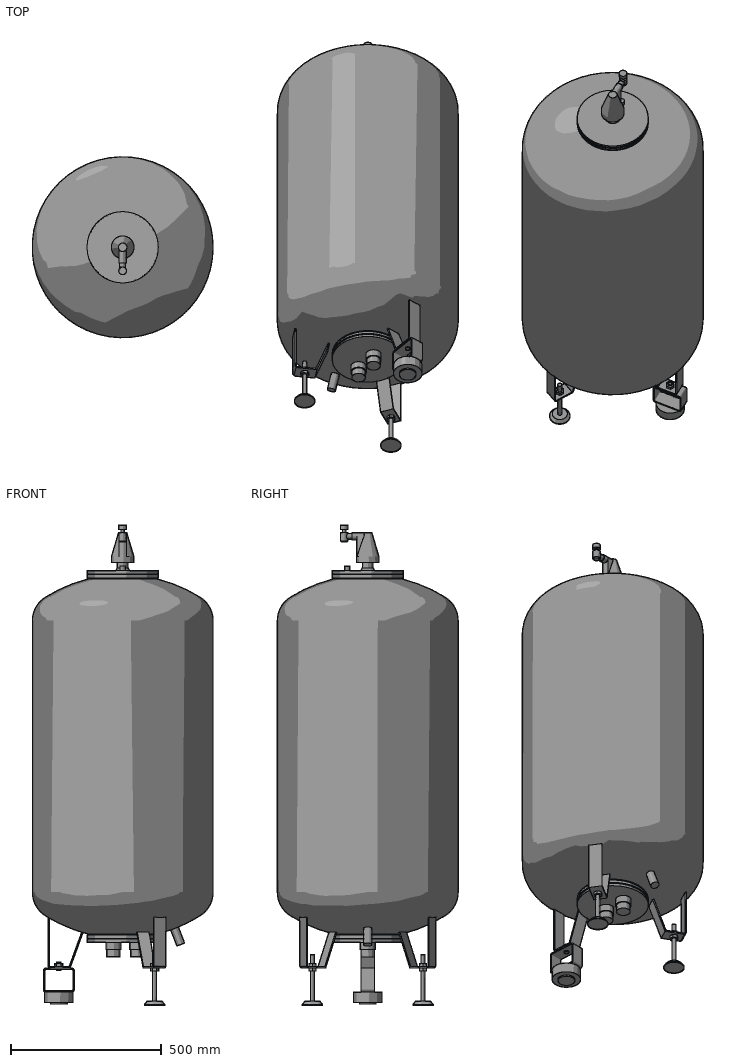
import cadquery as cq
import math

SHELL_RADIUS = 300.0
CROWN_RADIUS = 0.8 * 2 * SHELL_RADIUS
KNUCKLE_RADIUS = 0.154 * 2 * SHELL_RADIUS
HEAD_SKIRT = 15.0
SHELL_BOTTOM = 390.5
SHELL_TOP = 1259.0

CROWN_ANGLE = math.asin((SHELL_RADIUS - KNUCKLE_RADIUS) / (CROWN_RADIUS - KNUCKLE_RADIUS))
CROWN_CENTRE_DROP = (CROWN_RADIUS - KNUCKLE_RADIUS) * math.cos(CROWN_ANGLE)
HEAD_HEIGHT = CROWN_RADIUS - CROWN_CENTRE_DROP
LOWER_TANGENT = SHELL_BOTTOM - HEAD_SKIRT
UPPER_TANGENT = SHELL_TOP + HEAD_SKIRT
LOWER_CROWN_CENTRE = LOWER_TANGENT + CROWN_CENTRE_DROP

FLANGE_RADIUS = 118.0
NECK_RADIUS = 115.0
FLANGE_RISE = 14.0
FLANGE_PLATE = 11.0
GASKET = 2.0
NECK_DEPTH = 28.0
FLANGE_TOP = UPPER_TANGENT + HEAD_HEIGHT + FLANGE_RISE
FLANGE_BOTTOM = LOWER_TANGENT - HEAD_HEIGHT - FLANGE_RISE

PLUG_RADIUS = 9.0
PLUG_HEIGHT = 15.0
PLUG_Y = -68.0
PIPE_POSITIONS_X = (-30.5, 48.5)
PIPE_COLLAR_RADIUS = 25.5
PIPE_COLLAR_LENGTH = 24.0
PIPE_RADIUS = 22.5
PIPE_LENGTH = 48.0
DRAIN_RADIUS = 14.0
DRAIN_REACH = 57.0
DRAIN_ANGLE = 21.0

CELL_LEG_ANGLE = 180.0
FOOT_LEG_ANGLES = (60.0, -60.0)
LEG_WIDTH = 45.0
LEG_THICKNESS = 5.0
LEG_BEND = 11.0
LEG_OUTER = 248.0
LEG_INNER = 174.0
LEG_BRACE_TOP = 129.0
LEG_BRACE_TOP_Z = 247.5
SOLE_BOTTOM = 123.5
SOLE_TOP = SOLE_BOTTOM + LEG_THICKNESS
LEG_TOP = LOWER_TANGENT - KNUCKLE_RADIUS / 2
FOOT_CIRCLE = 211.5

ROD_RADIUS = 7.0
NUT_ACROSS_FLATS = 24.0
NUT_HEIGHT = 10.0
ROD_TOP = 168.5
PAD_RADIUS = 34.0
PAD_TOP_RADIUS = 25.0
PAD_RIM = 3.0
PAD_HEIGHT = 14.0

CELL_RADIUS = 47.5
CELL_BASE_RADIUS = 28.0
CELL_BASE_BOTTOM = 4.0
CELL_BOTTOM = 9.0
CELL_TOP = 44.0
FRAME_LENGTH = 103.0
FRAME_THICKNESS = 5.0
FRAME_BEND = 8.5
BOLT_RADIUS = 5.0
BOLT_TOP = 144.0
BOLT_HEAD_RADIUS = 8.0
BOLT_HEAD_HEIGHT = 3.0

VENT_SOCKET_RADIUS = 23.0
VENT_SOCKET_HEIGHT = 9.0
VENT_STEM_RADIUS = 18.0
VENT_BODY_BOTTOM = 1467.0
VENT_SHOULDER = 1487.0
VENT_TOP = 1566.0
VENT_BODY_RADIUS = 37.5
VENT_TOP_RADIUS = 14.0
SPOUT_RADIUS = 12.5
SPOUT_Z = VENT_TOP - SPOUT_RADIUS
SPOUT_END = 52.5
TUBE_RADIUS = 10.0
VALVE_Y = -78.0
VALVE_RADIUS = 12.5
VALVE_CHAMFER = 3.0
VALVE_BOTTOM = 1536.0
VALVE_NECK_RADIUS = 6.0
KNOB_RADIUS = 13.0
KNOB_BOTTOM = 1576.0
KNOB_TOP = 1591.25


def cylinder(radius, bottom, top, x=0.0, y=0.0):
    """Upright cylinder between two heights."""
    return cq.Workplane("XY", origin=(x, y, bottom)).circle(radius).extrude(top - bottom)


def hex_nut(bottom):
    """Hexagon nut on the foot circle."""
    corner_diameter = NUT_ACROSS_FLATS / math.cos(math.pi / 6)
    base = cq.Workplane("XY", origin=(FOOT_CIRCLE, 0, bottom))
    return base.polygon(6, corner_diameter).extrude(NUT_HEIGHT)


def place(body, angle):
    """Turn a body made on the +X axis about the vessel axis."""
    return body.rotate((0, 0, 0), (0, 0, 1), angle)


def polar(radius, angle_from_axis):
    """Sideways and axial parts of a radius leaning away from the vessel axis."""
    return radius * math.sin(angle_from_axis), radius * math.cos(angle_from_axis)


def head(tangent, outward):
    """Torispherical head with its skirt; outward is +1 upwards, -1 downwards."""
    crown_centre = tangent - outward * CROWN_CENTRE_DROP

    def on_crown(angle):
        radius, rise = polar(CROWN_RADIUS, angle)
        return radius, crown_centre + outward * rise

    knuckle_middle_angle = (CROWN_ANGLE + math.pi / 2) / 2
    step_out, step_up = polar(KNUCKLE_RADIUS, knuckle_middle_angle)
    knuckle_middle = (SHELL_RADIUS - KNUCKLE_RADIUS + step_out, tangent + outward * step_up)
    skirt_end = tangent - outward * HEAD_SKIRT
    profile = (
        cq.Workplane("XZ")
        .moveTo(0, skirt_end)
        .lineTo(SHELL_RADIUS, skirt_end)
        .lineTo(SHELL_RADIUS, tangent)
        .threePointArc(knuckle_middle, on_crown(CROWN_ANGLE))
        .threePointArc(on_crown(CROWN_ANGLE / 2), on_crown(0))
        .close()
    )
    return profile.revolve(360, (0, 0, 0), (0, 1, 0))


def flange(face, outward):
    """Neck, neck ring, recessed gasket and cover, from the head's crown to the outer face."""
    gasket_face = face - outward * FLANGE_PLATE
    ring_face = gasket_face - outward * GASKET
    neck_face = ring_face - outward * FLANGE_PLATE
    neck_root = neck_face - outward * NECK_DEPTH
    stack = (
        (NECK_RADIUS, neck_root, neck_face),
        (FLANGE_RADIUS, neck_face, ring_face),
        (NECK_RADIUS, ring_face, gasket_face),
        (FLANGE_RADIUS, gasket_face, face),
    )
    body = cq.Workplane("XY")
    for radius, start, end in stack:
        body = body.union(cylinder(radius, min(start, end), max(start, end)))
    return body


def bottom_pipes():
    """Collared connection pipes hanging from the lower cover."""
    pipes = cq.Workplane("XY")
    for x in PIPE_POSITIONS_X:
        for radius, length in ((PIPE_COLLAR_RADIUS, PIPE_COLLAR_LENGTH), (PIPE_RADIUS, PIPE_LENGTH)):
            pipes = pipes.union(cylinder(radius, FLANGE_BOTTOM - length, FLANGE_BOTTOM, x))
    return pipes


def drain():
    """Stub square to the lower crown, leaning outward along +X."""
    stub_end = LOWER_CROWN_CENTRE - CROWN_RADIUS - DRAIN_REACH
    stub = cylinder(DRAIN_RADIUS, stub_end, stub_end + 2 * DRAIN_REACH)
    centre = (0, 0, LOWER_CROWN_CENTRE)
    return stub.rotate(centre, (0, 1, LOWER_CROWN_CENTRE), -DRAIN_ANGLE)


def leg(hole_radius):
    """Bent strap: upright, sole and slanting brace, with a hole for the rod or bolt."""
    brace_slope = math.atan2(LEG_BRACE_TOP_Z - SOLE_BOTTOM, LEG_INNER - LEG_BRACE_TOP)
    brace_run = LEG_THICKNESS / math.sin(brace_slope)
    sole_shift = LEG_THICKNESS * math.tan(brace_slope / 2)
    strap = (
        cq.Workplane("XZ")
        .moveTo(LEG_OUTER, LEG_TOP)
        .lineTo(LEG_OUTER, SOLE_BOTTOM)
        .lineTo(LEG_INNER, SOLE_BOTTOM)
        .lineTo(LEG_BRACE_TOP, LEG_BRACE_TOP_Z)
        .lineTo(LEG_BRACE_TOP + brace_run, LEG_BRACE_TOP_Z)
        .lineTo(LEG_INNER + sole_shift, SOLE_TOP)
        .lineTo(LEG_OUTER - LEG_THICKNESS, SOLE_TOP)
        .lineTo(LEG_OUTER - LEG_THICKNESS, LEG_TOP)
        .close()
        .extrude(LEG_WIDTH / 2, both=True)
    )
    outer_bend = cq.selectors.NearestToPointSelector((LEG_OUTER, 0, SOLE_BOTTOM))
    strap = strap.edges(outer_bend).fillet(LEG_BEND)
    return strap.cut(cylinder(hole_radius, SOLE_BOTTOM, SOLE_TOP, FOOT_CIRCLE))


def make_tank():
    """Vessel with its flanges, connections and welded legs."""
    shell = cylinder(SHELL_RADIUS, SHELL_BOTTOM, SHELL_TOP)
    tank = shell.union(head(UPPER_TANGENT, 1)).union(head(LOWER_TANGENT, -1))
    tank = tank.union(flange(FLANGE_TOP, 1)).union(flange(FLANGE_BOTTOM, -1))
    tank = tank.union(cylinder(PLUG_RADIUS, FLANGE_TOP, FLANGE_TOP + PLUG_HEIGHT, y=PLUG_Y))
    tank = tank.union(bottom_pipes()).union(drain())
    tank = tank.union(place(leg(BOLT_RADIUS), CELL_LEG_ANGLE))
    for angle in FOOT_LEG_ANGLES:
        tank = tank.union(place(leg(ROD_RADIUS), angle))
    return tank


def make_levelling_foot(angle):
    """Round pad on a threaded rod, with a nut on each side of the sole."""
    pad = (
        cq.Workplane("XZ")
        .lineTo(PAD_RADIUS, 0)
        .lineTo(PAD_RADIUS, PAD_RIM)
        .lineTo(PAD_TOP_RADIUS, PAD_HEIGHT)
        .lineTo(0, PAD_HEIGHT)
        .close()
        .revolve(360, (0, 0, 0), (0, 1, 0))
        .translate((FOOT_CIRCLE, 0, 0))
    )
    rod = cylinder(ROD_RADIUS, PAD_HEIGHT / 2, ROD_TOP, FOOT_CIRCLE)
    foot = pad.union(rod).union(hex_nut(SOLE_TOP)).union(hex_nut(SOLE_BOTTOM - NUT_HEIGHT))
    return place(foot, angle)


def make_frame(angle):
    """Closed strap frame on top of the load cell, bolted under the sole."""
    height = SOLE_BOTTOM - CELL_TOP
    middle = (SOLE_BOTTOM + CELL_TOP) / 2
    outside = cq.Workplane("XY").box(FRAME_LENGTH, LEG_WIDTH, height).edges("|Y").fillet(FRAME_BEND)
    opening = cq.Workplane("XY").box(
        FRAME_LENGTH - 2 * FRAME_THICKNESS, LEG_WIDTH, height - 2 * FRAME_THICKNESS
    )
    opening = opening.edges("|Y").fillet(FRAME_BEND - FRAME_THICKNESS)
    frame = outside.cut(opening).translate((FOOT_CIRCLE, 0, middle))
    underside = SOLE_BOTTOM - FRAME_THICKNESS
    bolt = cylinder(BOLT_RADIUS, underside, BOLT_TOP, FOOT_CIRCLE).union(hex_nut(SOLE_TOP))
    for head_bottom in (underside - BOLT_HEAD_HEIGHT, BOLT_TOP - BOLT_HEAD_HEIGHT):
        head_top = head_bottom + BOLT_HEAD_HEIGHT
        bolt = bolt.union(cylinder(BOLT_HEAD_RADIUS, head_bottom, head_top, FOOT_CIRCLE))
    return place(frame.union(bolt), angle)


def make_load_cell(angle):
    """Round cell on a smaller base."""
    cell = cylinder(CELL_RADIUS, CELL_BOTTOM, CELL_TOP, FOOT_CIRCLE)
    base = cylinder(CELL_BASE_RADIUS, CELL_BASE_BOTTOM, CELL_BOTTOM, FOOT_CIRCLE)
    return place(cell.union(base), angle)


def along_y(radius, near, far):
    """Cylinder at spout height pointing to -Y, between two distances from the axis."""
    return cq.Workplane("XZ", origin=(0, -near, SPOUT_Z)).circle(radius).extrude(far - near)


def make_vent():
    """Conical vent on a stem, with a side spout ending in a small valve."""
    body = (
        cq.Workplane("XZ")
        .moveTo(0, FLANGE_TOP)
        .lineTo(VENT_SOCKET_RADIUS, FLANGE_TOP)
        .lineTo(VENT_STEM_RADIUS, FLANGE_TOP + VENT_SOCKET_HEIGHT)
        .lineTo(VENT_STEM_RADIUS, VENT_BODY_BOTTOM)
        .lineTo(VENT_BODY_RADIUS, VENT_BODY_BOTTOM)
        .lineTo(VENT_BODY_RADIUS, VENT_SHOULDER)
        .lineTo(VENT_TOP_RADIUS, VENT_TOP)
        .lineTo(0, VENT_TOP)
        .close()
        .revolve(360, (0, 0, 0), (0, 1, 0))
    )
    rib = (
        cq.Workplane("XY", origin=(0, -VENT_BODY_RADIUS / 2, VENT_SHOULDER))
        .rect(2 * SPOUT_RADIUS, VENT_BODY_RADIUS)
        .extrude(SPOUT_Z - VENT_SHOULDER)
        .intersect(cylinder(VENT_BODY_RADIUS, VENT_SHOULDER, SPOUT_Z))
    )
    vent = body.union(rib).union(along_y(SPOUT_RADIUS, 0, SPOUT_END))
    vent = vent.union(along_y(TUBE_RADIUS, SPOUT_END, -VALVE_Y))
    valve = cylinder(VALVE_RADIUS, VALVE_BOTTOM, VENT_TOP, y=VALVE_Y)
    vent = vent.union(valve.faces("<Z").chamfer(VALVE_CHAMFER))
    vent = vent.union(cylinder(VALVE_NECK_RADIUS, VENT_TOP, KNOB_BOTTOM, y=VALVE_Y))
    return vent.union(cylinder(KNOB_RADIUS, KNOB_BOTTOM, KNOB_TOP, y=VALVE_Y))


tank = make_tank()
vent = make_vent()
frame = make_frame(CELL_LEG_ANGLE)
load_cell = make_load_cell(CELL_LEG_ANGLE)
levelling_feet = [make_levelling_foot(angle) for angle in FOOT_LEG_ANGLES]

result = cq.Compound.makeCompound([
    tank.val(),
    vent.val(),
    frame.val(),
    load_cell.val(),
    *[foot.val() for foot in levelling_feet],
])